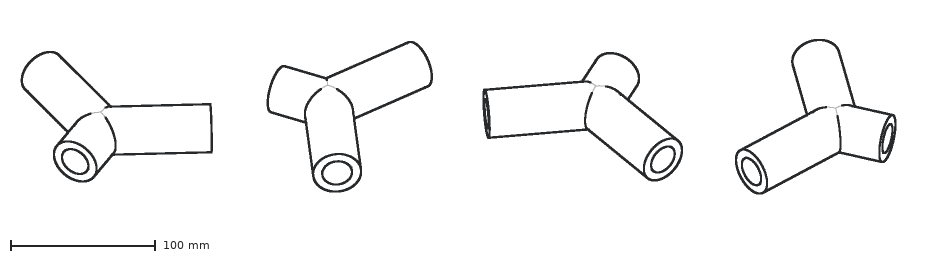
import cadquery as cq
import math

overall_width = 148.7
outer_diameter = 33.5
bore_diameter = 20.7
arm_angle = 30.0

outer_radius = outer_diameter / 2
tilt = math.radians(arm_angle)
arm_length = (overall_width / 2 - outer_radius * math.sin(tilt)) / math.cos(tilt)
leg_length = arm_length / 2

tubes = [
    (arm_angle, arm_length),
    (180 - arm_angle, arm_length),
    (270, leg_length),
]


def rods(diameter):
    """Union of round rods running from the origin along every tube axis."""
    body = cq.Workplane("XY")
    for angle, length in tubes:
        rod = cq.Workplane("YZ").circle(diameter / 2).extrude(length)
        body = body.union(rod.rotate((0, 0, 0), (0, 0, 1), angle))
    return body


result = rods(outer_diameter).cut(rods(bore_diameter))